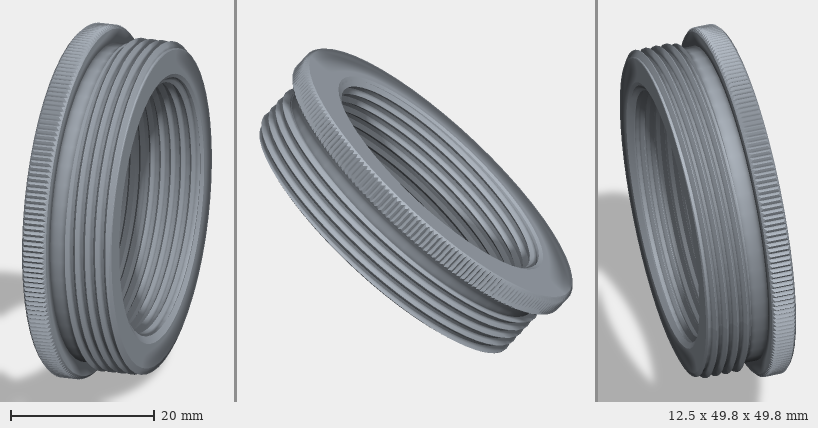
import cadquery as cq
import math

total_length = 12.5
flange_radius = 24.92
flange_width = 3.5
flange_chamfer = 0.5
neck_radius = 22.45
thread_start = 6.0

tooth_count = 200
tooth_pitch = 2 * math.pi * flange_radius / tooth_count
knurl_root_radius = flange_radius - tooth_pitch / 2

pitch = 1.5
flank_slope = math.tan(math.radians(30))
overlap = 0.15

outer_major_radius = 23.5
outer_root_radius = 22.6
outer_root_width = 0.4
outer_groove_start = thread_start - pitch
outer_end_chamfer_length = 0.4

inner_minor_radius = 17.7
inner_root_radius = 18.5
inner_root_width = 0.55
inner_start_angle = 39.0
bore_mouth_radius = 19.0
bore_chamfer_length = (bore_mouth_radius - inner_minor_radius) * math.tan(math.radians(30))


def revolve_about_x(points):
    """Turn a closed (x, radius) outline about the X axis."""
    return cq.Workplane("XY").polyline(points).close().revolve(360, (0, 0, 0), (1, 0, 0))


def groove_turn(profile, reference_radius):
    """Sweep a closed (x, radius) profile along one right-handed turn around X, from +Y at x = 0."""
    helix = cq.Wire.makeHelix(pitch, pitch, reference_radius)
    section = cq.Workplane("XZ").polyline([(radius, x) for x, radius in profile]).close()
    turn = section.sweep(cq.Workplane(obj=helix), isFrenet=True)
    return turn.rotate((0, 0, 0), (1, 1, 1), 120)


def cut_thread(body, root_radius, open_radius, root_width, start_x, start_angle):
    """Cut a helical groove, flat at root_radius and open past open_radius, out through the +X end."""
    beyond = open_radius + math.copysign(overlap, open_radius - root_radius)
    half_root = root_width / 2
    half_mouth = half_root + abs(beyond - root_radius) * flank_slope
    turn = groove_turn(
        [
            (-half_root, root_radius),
            (half_root, root_radius),
            (half_mouth, beyond),
            (-half_mouth, beyond),
        ],
        root_radius,
    )
    turn = turn.rotate((0, 0, 0), (1, 0, 0), start_angle)
    turn_count = math.ceil((total_length + half_mouth - start_x) / pitch)
    for index in range(turn_count):
        body = body.cut(turn.translate((start_x + index * pitch, 0, 0)), clean=False)
    return body


def knurled_flange():
    """Knurled rim that fits around the barrel."""
    corners = []
    for tooth in range(tooth_count):
        for radius, step in ((flange_radius, 0), (knurl_root_radius, 0.5)):
            angle = 2 * math.pi * (tooth + step) / tooth_count
            corners.append((radius * math.cos(angle), radius * math.sin(angle)))
    toothed_disc = cq.Workplane("YZ").polyline(corners).close().extrude(flange_width)
    chamfered_disc = revolve_about_x([
        (0, neck_radius),
        (0, flange_radius - flange_chamfer),
        (flange_chamfer, flange_radius),
        (flange_width - flange_chamfer, flange_radius),
        (flange_width, flange_radius - flange_chamfer),
        (flange_width, neck_radius),
    ])
    return toothed_disc.intersect(chamfered_disc)


def bore():
    """Through bore with a chamfer at each mouth."""
    return revolve_about_x([
        (0, 0),
        (0, bore_mouth_radius),
        (bore_chamfer_length, inner_minor_radius),
        (total_length - bore_chamfer_length, inner_minor_radius),
        (total_length, bore_mouth_radius),
        (total_length, 0),
    ])


def threaded_barrel():
    """Neck and sleeve, threaded outside and inside."""
    blank = revolve_about_x([
        (0, 0),
        (0, neck_radius),
        (thread_start, neck_radius),
        (thread_start, outer_major_radius),
        (total_length - outer_end_chamfer_length, outer_major_radius),
        (total_length, neck_radius),
        (total_length, 0),
    ])
    blank = blank.cut(bore())
    blank = cut_thread(
        blank, outer_root_radius, outer_major_radius, outer_root_width, outer_groove_start, 0
    )
    return cut_thread(
        blank, inner_root_radius, inner_minor_radius, inner_root_width, 0, inner_start_angle
    )


result = threaded_barrel().union(knurled_flange())